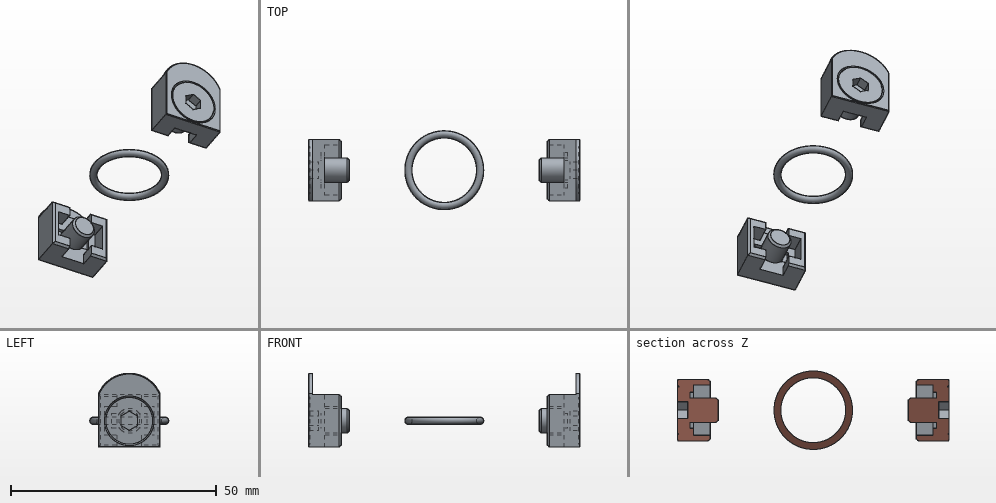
import cadquery as cq
import math

overall_length = 66.0
outer_face_x = -overall_length / 2

clamp_width = 15.0
block_depth = 8.0
block_height = 12.8
block_chamfer = 0.5
flange_thickness = 1.05
flange_height = 17.95
flange_side_height = 13.0
flange_chamfer = 0.2
clamp_bottom_z = -block_height / 2
block_front_x = outer_face_x + block_depth

shaft_diameter = 6.0
shaft_overhang = 2.0
shaft_chamfer = 0.5
countersink_diameter = 12.1
head_diameter = 11.35
groove_depth = (countersink_diameter - head_diameter) / 2
hex_across_flats = 4.0
hex_depth = 2.5

slot_width = shaft_diameter
slot_depth = 4.0
pocket_width = 12.15
pocket_height = 7.0
recess_width = 8.7
recess_height = 3.55
recess_depth = 0.85
slot_floor_x = block_front_x - slot_depth

ring_outer_diameter = 19.2
ring_thickness = 1.8


def box_along_x(x_start, x_end, width, height):
    """Box centred on the shaft axis between two X positions."""
    return cq.Workplane("XY").box(x_end - x_start, width, height).translate(((x_start + x_end) / 2, 0, 0))


def make_block():
    """Rectangular block with its front edges chamfered."""
    block = box_along_x(outer_face_x, block_front_x, clamp_width, block_height)
    return block.faces(">X").edges().chamfer(block_chamfer)


def make_flange():
    """Thin plate with an arched top and a chamfered outer rim."""
    half_width = clamp_width / 2
    shoulder_z = clamp_bottom_z + flange_side_height
    flange = (
        cq.Workplane("YZ", origin=(outer_face_x, 0, 0))
        .moveTo(-half_width, clamp_bottom_z)
        .lineTo(half_width, clamp_bottom_z)
        .lineTo(half_width, shoulder_z)
        .threePointArc((0, clamp_bottom_z + flange_height), (-half_width, shoulder_z))
        .close()
        .extrude(flange_thickness)
    )
    return flange.faces("<X").edges().chamfer(flange_chamfer)


def make_front_cavity():
    """Vertical slot, wider pocket across it and a recess in the pocket floor."""
    slot = box_along_x(slot_floor_x, block_front_x, slot_width, block_height)
    pocket = box_along_x(slot_floor_x, block_front_x, pocket_width, pocket_height)
    recess = box_along_x(slot_floor_x - recess_depth, slot_floor_x, recess_width, recess_height)
    return slot.union(pocket).union(recess)


def make_shaft():
    """Screw shaft rising from inside the block past its front."""
    shaft_start_x = slot_floor_x - recess_depth
    shaft_length = block_front_x + shaft_overhang - shaft_start_x
    shaft = (
        cq.Workplane("YZ", origin=(shaft_start_x, 0, 0))
        .circle(shaft_diameter / 2)
        .extrude(shaft_length)
    )
    return shaft.faces(">X").edges().chamfer(shaft_chamfer)


def make_head_cut():
    """V-shaped groove around the flush screw head, and the hexagonal socket in the head."""
    countersink = (
        cq.Workplane("YZ", origin=(outer_face_x, 0, 0))
        .circle(countersink_diameter / 2)
        .workplane(offset=groove_depth)
        .circle(head_diameter / 2)
        .loft()
    )
    head = (
        cq.Workplane("YZ", origin=(outer_face_x, 0, 0))
        .circle(head_diameter / 2)
        .extrude(groove_depth)
    )
    groove = countersink.cut(head)
    hex_corner_diameter = hex_across_flats / math.cos(math.pi / 6)
    socket = (
        cq.Workplane("YZ", origin=(outer_face_x, 0, 0))
        .transformed(rotate=(0, 0, 90))
        .polygon(6, hex_corner_diameter)
        .extrude(hex_depth)
    )
    return groove.union(socket)


def make_clamp():
    """Left clamp, with its outer face toward -X."""
    flange_space = box_along_x(outer_face_x, outer_face_x + flange_thickness, clamp_width, block_height)
    body = make_block().cut(flange_space).union(make_flange())
    return body.cut(make_front_cavity()).union(make_shaft()).cut(make_head_cut())


def make_ring():
    """Round-section ring lying flat around the Z axis."""
    section_radius = ring_thickness / 2
    centre_radius = ring_outer_diameter / 2 - section_radius
    return cq.Workplane("XZ").center(centre_radius, 0).circle(section_radius).revolve(
        360, (-centre_radius, 0, 0), (-centre_radius, 1, 0)
    )


left_clamp = make_clamp()
right_clamp = left_clamp.mirror("YZ")
ring = make_ring()

result = cq.Compound.makeCompound([left_clamp.val(), right_clamp.val(), ring.val()])